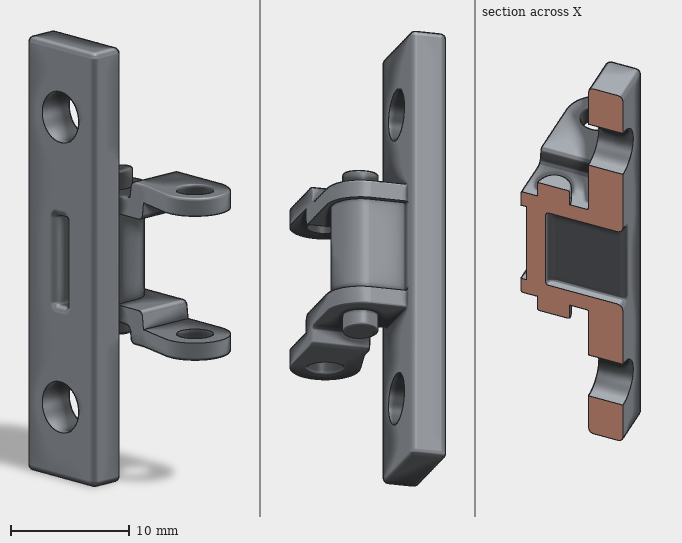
import cadquery as cq
import math


OVERALL_DEPTH = 9.37
PLATE_END_RADIUS = 3.0

BAR_WIDTH = 8.3
BAR_THICKNESS = 3.17
BAR_LENGTH = 38.0
BAR_EDGE_RADIUS = 0.5
BAR_HOLE_DIAMETER = 4.45
BAR_HOLE_SPACING = 25.4
BAR_BACK_Y = PLATE_END_RADIUS - OVERALL_DEPTH
BAR_FRONT_Y = BAR_BACK_Y + BAR_THICKNESS

BUSHING_RADIUS = 2.5

PITCH = 9.8
PLATE_THICKNESS = 1.55
INNER_FACE_Z = 4.0
STEP_FACE_Z = INNER_FACE_Z + PLATE_THICKNESS
OUTER_FACE_Z = STEP_FACE_Z + PLATE_THICKNESS
CRANK_ANGLE = 83.0
CRANK_OUTER_X = 4.12
CRANK_INNER_X = 5.72
CRANK_BEND_RADIUS = 0.5
NECK_Y = -2.2
NECK_END_X = 5.75
NECK_BLEND_RADIUS = 2.4
FOOT_RIGHT_X = BUSHING_RADIUS
FOOT_NOTCH_RADIUS = 0.6
PLATE_EDGE_RADIUS = 0.2
LUG_HOLE_DIAMETER = 3.1

PIN_DIAMETER = 3.0
PIN_EDGE_RADIUS = 0.2
PIN_END_Z = 7.05
PIN_END_TILT = 5.5
FOOT_FILLET_RADIUS = 0.2

SLOT_WIDTH = 1.4
SLOT_LENGTH = 7.9
SLOT_CORNER_RADIUS = 0.25
SLOT_MOUTH_RADIUS = 0.58

SELECT_MARGIN = 0.05
OUTWARD_NORMAL_MIN = 0.05


def make_bar():
    """Rounded rectangular bar."""
    bar = cq.Workplane("XY").box(BAR_WIDTH, BAR_THICKNESS, BAR_LENGTH)
    bar = bar.edges().fillet(BAR_EDGE_RADIUS)
    return bar.translate((0, BAR_BACK_Y + BAR_THICKNESS / 2, 0))


def plate_outline():
    """Plan outline of a link plate: a foot in the bar, a neck and a round lug."""
    foot_y = BAR_FRONT_Y - BAR_EDGE_RADIUS
    diagonal = PLATE_END_RADIUS * math.sqrt(0.5)
    neck_distance = math.hypot(PITCH - NECK_END_X, NECK_Y)
    tangent_angle = math.atan2(NECK_Y, NECK_END_X - PITCH) + math.acos(PLATE_END_RADIUS / neck_distance)
    tangent_x = PITCH + PLATE_END_RADIUS * math.cos(tangent_angle)
    tangent_y = PLATE_END_RADIUS * math.sin(tangent_angle)
    return (
        cq.Workplane("XY")
        .moveTo(-PLATE_END_RADIUS, foot_y)
        .lineTo(-PLATE_END_RADIUS, 0)
        .threePointArc((-diagonal, diagonal), (0, PLATE_END_RADIUS))
        .lineTo(PITCH, PLATE_END_RADIUS)
        .threePointArc((PITCH + PLATE_END_RADIUS, 0), (tangent_x, tangent_y))
        .lineTo(NECK_END_X, NECK_Y)
        .lineTo(FOOT_RIGHT_X, NECK_Y)
        .lineTo(FOOT_RIGHT_X, foot_y)
        .close()
        .extrude(OUTER_FACE_Z)
        .edges(cq.selectors.NearestToPointSelector((FOOT_RIGHT_X, NECK_Y, OUTER_FACE_Z / 2)))
        .fillet(FOOT_NOTCH_RADIUS)
        .edges(cq.selectors.NearestToPointSelector((NECK_END_X, NECK_Y, OUTER_FACE_Z / 2)))
        .fillet(NECK_BLEND_RADIUS)
    )


def crank_profile():
    """Side profile of the cranked plate, stepping outward between the pin and the lug."""
    half_run = PLATE_THICKNESS / math.tan(math.radians(CRANK_ANGLE)) / 2
    start_x = -2 * PLATE_END_RADIUS
    end_x = PITCH + 2 * PLATE_END_RADIUS
    profile = (
        cq.Workplane("XZ")
        .moveTo(start_x, INNER_FACE_Z)
        .lineTo(CRANK_INNER_X - half_run, INNER_FACE_Z)
        .lineTo(CRANK_INNER_X + half_run, STEP_FACE_Z)
        .lineTo(end_x, STEP_FACE_Z)
        .lineTo(end_x, OUTER_FACE_Z)
        .lineTo(CRANK_OUTER_X + half_run, OUTER_FACE_Z)
        .lineTo(CRANK_OUTER_X - half_run, STEP_FACE_Z)
        .lineTo(start_x, STEP_FACE_Z)
        .close()
        .extrude(OVERALL_DEPTH, both=True)
    )
    bends = (
        (CRANK_INNER_X - half_run, INNER_FACE_Z),
        (CRANK_OUTER_X + half_run, OUTER_FACE_Z),
        (CRANK_OUTER_X - half_run, STEP_FACE_Z),
    )
    for bend_x, bend_z in bends:
        bend_edge = cq.selectors.NearestToPointSelector((bend_x, 0, bend_z))
        profile = profile.edges(bend_edge).fillet(CRANK_BEND_RADIUS)
    return profile


def outer_rim_edges(plate):
    """Edges between the outward faces of the plate and its side walls, clear of the bar."""
    rim = []
    outward = [face for face in plate.faces().vals() if face.normalAt().z > OUTWARD_NORMAL_MIN]
    for face in outward:
        for edge in face.Edges():
            shared = sum(1 for other in outward if any(edge.isSame(e) for e in other.Edges()))
            if shared == 1 and edge.Center().y > BAR_FRONT_Y - BAR_EDGE_RADIUS / 2:
                rim.append(edge)
    return rim


def make_plate():
    """Upper link plate with a drilled lug and a rounded outer rim."""
    plate = plate_outline().intersect(crank_profile())
    lug_hole = cq.Workplane("XY").center(PITCH, 0).circle(LUG_HOLE_DIAMETER / 2).extrude(2 * OUTER_FACE_Z)
    plate = plate.cut(lug_hole)
    return plate.newObject(outer_rim_edges(plate)).fillet(PLATE_EDGE_RADIUS)


def make_bushing():
    """Round-backed body joining the two plates to the bar."""
    body_y = BAR_FRONT_Y - BAR_EDGE_RADIUS
    return (
        cq.Workplane("XY", origin=(0, 0, -INNER_FACE_Z))
        .moveTo(-BUSHING_RADIUS, body_y)
        .lineTo(-BUSHING_RADIUS, 0)
        .threePointArc((0, BUSHING_RADIUS), (BUSHING_RADIUS, 0))
        .lineTo(BUSHING_RADIUS, body_y)
        .close()
        .extrude(2 * INNER_FACE_Z)
    )


def make_pin():
    """Pin through both plates, with tilted, rounded ends."""
    tilt_rise = PIN_DIAMETER * math.tan(math.radians(PIN_END_TILT))
    low_z = PIN_END_Z - tilt_rise
    high_z = PIN_END_Z + tilt_rise
    envelope = (
        cq.Workplane("XZ")
        .moveTo(-PIN_DIAMETER, -low_z)
        .lineTo(PIN_DIAMETER, -high_z)
        .lineTo(PIN_DIAMETER, high_z)
        .lineTo(-PIN_DIAMETER, low_z)
        .close()
        .extrude(PIN_DIAMETER, both=True)
    )
    blank = cq.Workplane("XY", origin=(0, 0, -high_z)).circle(PIN_DIAMETER / 2).extrude(2 * high_z)
    return blank.intersect(envelope).edges("%ELLIPSE").fillet(PIN_EDGE_RADIUS)


def make_slot():
    """Blind slot cutter with a full-round floor centred on the pin axis."""
    half_width = SLOT_WIDTH / 2
    slot = (
        cq.Workplane("XY")
        .moveTo(-half_width, BAR_BACK_Y)
        .lineTo(-half_width, 0)
        .threePointArc((0, half_width), (half_width, 0))
        .lineTo(half_width, BAR_BACK_Y)
        .close()
        .extrude(SLOT_LENGTH / 2, both=True)
    )
    return slot.faces("|Z").edges("not(<Y)").fillet(SLOT_CORNER_RADIUS)


def cut_bar_holes(part):
    """Two mounting holes through the bar."""
    for hole_z in (-BAR_HOLE_SPACING / 2, BAR_HOLE_SPACING / 2):
        hole = cq.Workplane("XZ").center(0, hole_z).circle(BAR_HOLE_DIAMETER / 2)
        part = part.cut(hole.extrude(-2 * BAR_BACK_Y, both=True))
    return part


def edges_in_plane(plane_y, half_x, half_z):
    """Selector for edges lying in the plane Y = plane_y, within half_x and half_z of the origin."""
    return cq.selectors.BoxSelector(
        (-half_x - SELECT_MARGIN, plane_y - SELECT_MARGIN, -half_z - SELECT_MARGIN),
        (half_x + SELECT_MARGIN, plane_y + SELECT_MARGIN, half_z + SELECT_MARGIN),
        boundingbox=True,
    )


upper_plate = make_plate()
lower_plate = upper_plate.mirror("XY")
link = upper_plate.union(lower_plate).union(make_bushing())

part = make_bar().union(link)
foot_edges = edges_in_plane(BAR_FRONT_Y, PLATE_END_RADIUS, STEP_FACE_Z)
part = part.edges(foot_edges).fillet(FOOT_FILLET_RADIUS)

part = part.union(make_pin()).cut(make_slot())
mouth_edges = edges_in_plane(BAR_BACK_Y, SLOT_WIDTH / 2, SLOT_LENGTH / 2)
part = part.edges(mouth_edges).fillet(SLOT_MOUTH_RADIUS)

result = cut_bar_holes(part)